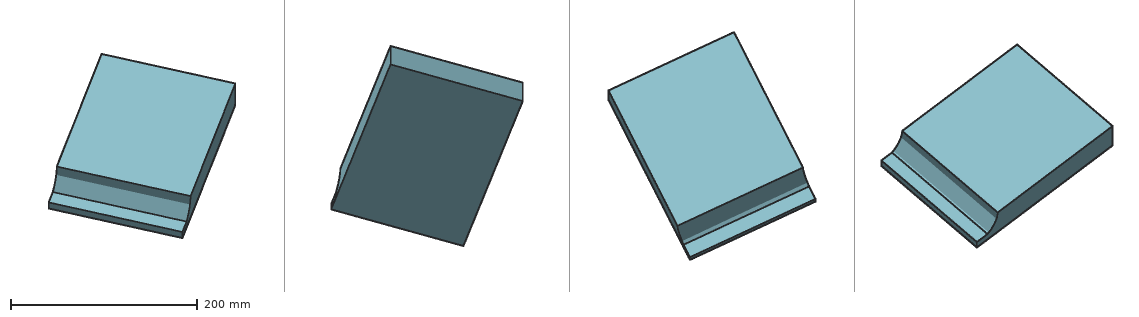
import cadquery as cq

width = 150.0
length = 200.0
height = 35.0

lip_thickness = 10.0
lip_length = 15.5

cove_run = 15.0
cove_rise = height - lip_thickness
cove_radius = (cove_run**2 + cove_rise**2) / (2 * cove_run)

front = -length / 2
back = length / 2
cove_foot = front + lip_length
cove_top = cove_foot + cove_run

mid_drop = cove_rise / 2
mid_y = cove_top - cove_radius + (cove_radius**2 - mid_drop**2) ** 0.5

result = (
    cq.Workplane("YZ")
    .moveTo(front, 0)
    .lineTo(back, 0)
    .lineTo(back, height)
    .lineTo(cove_top, height)
    .threePointArc((mid_y, height - mid_drop), (cove_foot, lip_thickness))
    .lineTo(front, lip_thickness)
    .close()
    .extrude(width / 2, both=True)
)